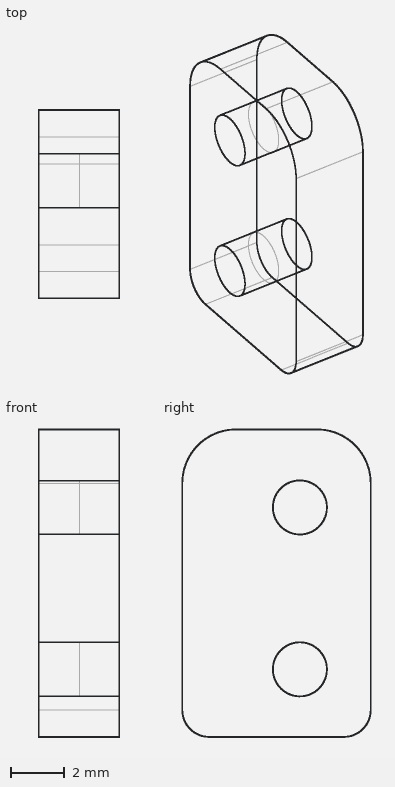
import cadquery as cq

thickness = 3.0
width = 7.0
height = 11.41
top_corner_radius = 2.0
bottom_corner_radius = 1.0

hole_diameter = 2.0
hole_spacing = 6.0
hole_offset_y = 0.87
lower_hole_height = 2.51

plate = cq.Workplane("XY").box(thickness, width, height)
plate = plate.edges("|X and >Z").fillet(top_corner_radius)
plate = plate.edges("|X and <Z").fillet(bottom_corner_radius)

lower_hole_z = lower_hole_height - height / 2
hole_centers = [
    (hole_offset_y, lower_hole_z),
    (hole_offset_y, lower_hole_z + hole_spacing),
]
holes = (
    cq.Workplane("YZ")
    .pushPoints(hole_centers)
    .circle(hole_diameter / 2)
    .extrude(thickness / 2, both=True)
)

result = plate.cut(holes)